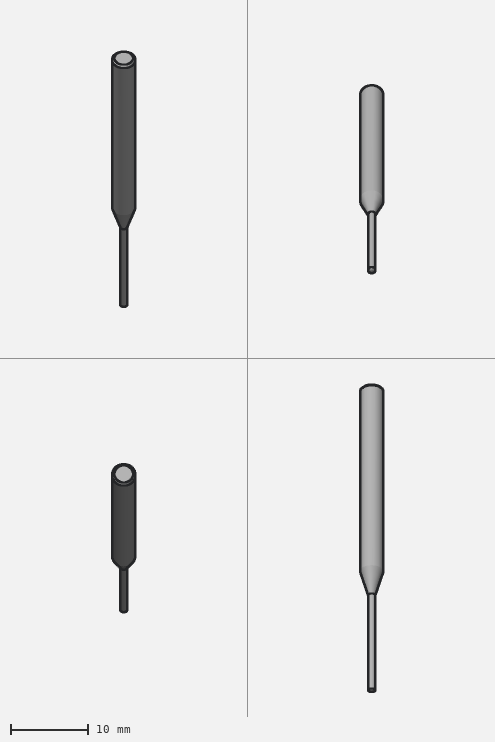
import cadquery as cq
import math

TOTAL_LENGTH = 45.0
CUTTER_LENGTH = 14.3
TAPER_LENGTH = 3.55

SHANK_RADIUS = 3.0 / 2
CUTTER_RADIUS = 0.95 / 2
SHANK_CHAMFER = 0.3
POINT_ANGLE = 140.0

TAPER_TOP = CUTTER_LENGTH + TAPER_LENGTH
POINT_HEIGHT = CUTTER_RADIUS / math.tan(math.radians(POINT_ANGLE / 2))


def revolve_profile(points):
    """Turn a closed (radius, height) outline fully around the Z axis."""
    return cq.Workplane("XZ").polyline(points).close().revolve(360, (0, 0), (0, 1))


def make_shank():
    """Straight round shank, chamfered on top and tapered down to the cutter."""
    return revolve_profile([
        (0, CUTTER_LENGTH),
        (CUTTER_RADIUS, CUTTER_LENGTH),
        (SHANK_RADIUS, TAPER_TOP),
        (SHANK_RADIUS, TOTAL_LENGTH - SHANK_CHAMFER),
        (SHANK_RADIUS - SHANK_CHAMFER, TOTAL_LENGTH),
        (0, TOTAL_LENGTH),
    ])


def make_cutter():
    """Slim round cutter with a conical point, butted against the taper."""
    return revolve_profile([
        (0, 0),
        (CUTTER_RADIUS, POINT_HEIGHT),
        (CUTTER_RADIUS, CUTTER_LENGTH),
        (0, CUTTER_LENGTH),
    ])


shank = make_shank()
cutter = make_cutter()

result = cq.Compound.makeCompound([shank.val(), cutter.val()])